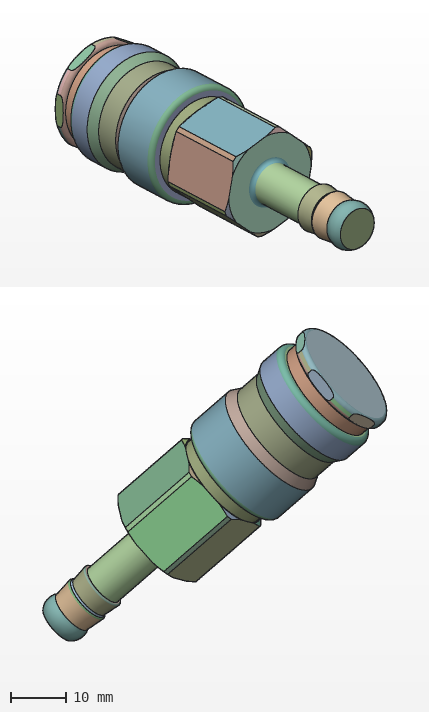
import cadquery as cq
import math


HEX_SIDES = 6

HEAD_LENGTH = 2.5
HEAD_DIAMETER = 22.0
HEAD_ACROSS_FLATS = 21.0
HEAD_FILLET = 0.9

FRONT_NECK_DIAMETER = 20.1
REAR_NECK_DIAMETER = 18.95

SLEEVE_START = 5.15
SLEEVE_END = 28.75
SLEEVE_DIAMETER = 23.15
WAIST_DIAMETER = 21.0
WAIST_START = 12.5
WAIST_END = 17.35
WAIST_SLOPE = 2.0
SLEEVE_FRONT_FILLET = 1.1
SLEEVE_REAR_FILLET = 0.95

HEX_START = 31.45
HEX_END = 48.6
HEX_ACROSS_FLATS = 18.8
HEX_CORNER_DIAMETER = 21.2
HEX_END_DIAMETER = 19.3
HEX_CHAMFER = 0.45
HEX_TILT = 11.4

STEM_DIAMETER = 8.1
STEM_FILLET = 0.8
BARB_STARTS = (62.0, 66.0)
BARB_DIAMETER = 9.3
BARB_ROUND = 0.3
BARB_ROOT_DIAMETER = 8.5
BARB_ROOTS = (65.55, 70.0)
TIP_PEAK = 71.65
TIP_PEAK_DIAMETER = 9.4
TIP_END_DIAMETER = 7.95
TOTAL_LENGTH = 73.5


def revolve_about_x(profile):
    """Close a profile drawn in X and radius, and revolve it about the X axis."""
    return profile.close().revolve(360, (0, 0, 0), (1, 0, 0))


def hexagonal_bar(start, end, across_flats, tilt):
    """Hexagonal bar along X with a flat facing -Y, tilted from there toward +Z."""
    corner_to_flat = 180 / HEX_SIDES
    corner_circle = across_flats / math.cos(math.radians(corner_to_flat))
    bar = cq.Workplane("YZ", origin=(start, 0, 0)).polygon(HEX_SIDES, corner_circle).extrude(end - start)
    return bar.rotate((0, 0, 0), (1, 0, 0), corner_to_flat - tilt)


def make_head():
    disc = cq.Workplane("YZ").circle(HEAD_DIAMETER / 2).extrude(HEAD_LENGTH)
    disc = disc.faces("<X or >X").edges().fillet(HEAD_FILLET)
    return disc.intersect(hexagonal_bar(0, HEAD_LENGTH, HEAD_ACROSS_FLATS, 0))


def make_necks():
    return revolve_about_x(
        cq.Workplane("XY")
        .moveTo(HEAD_LENGTH, 0)
        .lineTo(HEAD_LENGTH, FRONT_NECK_DIAMETER / 2)
        .lineTo(SLEEVE_START, FRONT_NECK_DIAMETER / 2)
        .lineTo(SLEEVE_START, REAR_NECK_DIAMETER / 2)
        .lineTo(HEX_START, REAR_NECK_DIAMETER / 2)
        .lineTo(HEX_START, 0)
    )


def make_wrench_hexagon():
    envelope = revolve_about_x(
        cq.Workplane("XY")
        .moveTo(HEX_START, 0)
        .lineTo(HEX_START, HEX_END_DIAMETER / 2)
        .lineTo(HEX_START + HEX_CHAMFER, HEX_CORNER_DIAMETER / 2)
        .lineTo(HEX_END - HEX_CHAMFER, HEX_CORNER_DIAMETER / 2)
        .lineTo(HEX_END, HEX_END_DIAMETER / 2)
        .lineTo(HEX_END, 0)
    )
    return envelope.intersect(hexagonal_bar(HEX_START, HEX_END, HEX_ACROSS_FLATS, HEX_TILT))


def make_hose_tail():
    stem_radius = STEM_DIAMETER / 2
    crest_radius = BARB_DIAMETER / 2
    round_middle = BARB_ROUND * (1 - math.sqrt(0.5))
    fillet_middle = STEM_FILLET * (1 - math.sqrt(0.5))
    profile = (
        cq.Workplane("XY")
        .moveTo(HEX_END, 0)
        .lineTo(HEX_END, stem_radius + STEM_FILLET)
        .threePointArc(
            (HEX_END + fillet_middle, stem_radius + fillet_middle),
            (HEX_END + STEM_FILLET, stem_radius),
        )
        .lineTo(BARB_STARTS[0], stem_radius)
    )
    for start, root in zip(BARB_STARTS, BARB_ROOTS):
        profile = (
            profile.lineTo(start, crest_radius - BARB_ROUND)
            .threePointArc(
                (start + round_middle, crest_radius - round_middle),
                (start + BARB_ROUND, crest_radius),
            )
            .lineTo(root, BARB_ROOT_DIAMETER / 2)
        )
    profile = profile.threePointArc(
        (TIP_PEAK, TIP_PEAK_DIAMETER / 2), (TOTAL_LENGTH, TIP_END_DIAMETER / 2)
    ).lineTo(TOTAL_LENGTH, 0)
    return revolve_about_x(profile)


def make_core():
    return make_head().union(make_necks()).union(make_wrench_hexagon()).union(make_hose_tail())


def make_sleeve():
    bore_radius = REAR_NECK_DIAMETER / 2
    outer_radius = SLEEVE_DIAMETER / 2
    waist_radius = WAIST_DIAMETER / 2
    blank = revolve_about_x(
        cq.Workplane("XY")
        .moveTo(SLEEVE_START, bore_radius)
        .lineTo(SLEEVE_START, outer_radius)
        .lineTo(WAIST_START - WAIST_SLOPE, outer_radius)
        .lineTo(WAIST_START, waist_radius)
        .lineTo(WAIST_END, waist_radius)
        .lineTo(WAIST_END + WAIST_SLOPE, outer_radius)
        .lineTo(SLEEVE_END, outer_radius)
        .lineTo(SLEEVE_END, bore_radius)
    )
    outer_rim = cq.selectors.RadiusNthSelector(-1)
    rounded_front = blank.faces("<X").edges(outer_rim).fillet(SLEEVE_FRONT_FILLET)
    return rounded_front.faces(">X").edges(outer_rim).fillet(SLEEVE_REAR_FILLET)


core = make_core()
sleeve = make_sleeve()
result = cq.Compound.makeCompound([core.val(), sleeve.val()])